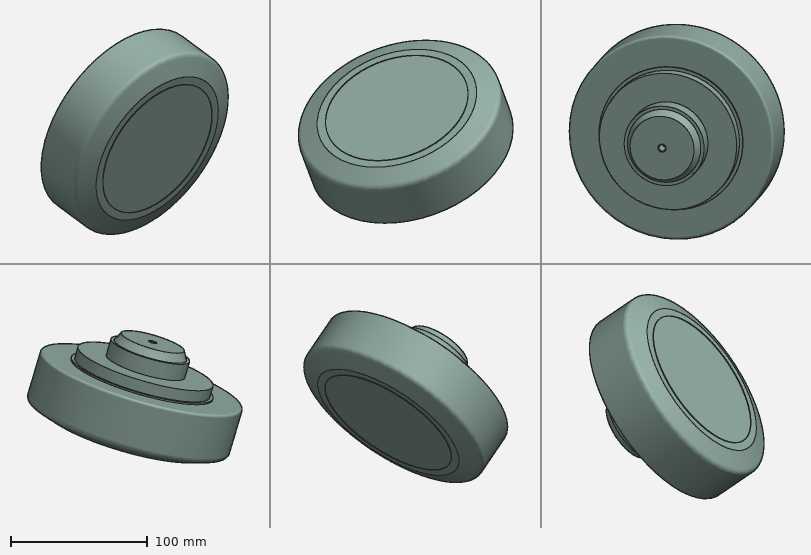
import cadquery as cq
import math


nose_length = 6.5
nose_tip_radius = 24.0
nose_base_radius = 27.5
boss_end = 19.0
boss_radius = 30.0
collar_end = 27.8
collar_radius = 51.5

core_radius = 54.0
total_length = 72.5

tyre_start = 29.0
tyre_end = 72.0
tyre_radius = 76.9
crown_radius = 60.5
crown_angle = 20.0
front_round = 2.0
shoulder_round = 4.0

hole_radius = 2.5
hole_chamfer = 0.6
hole_depth = 12.0
drill_point_angle = 118.0


def disc(start, end, radius):
    """Cylinder about the X axis between two x positions."""
    return cq.Workplane("YZ", origin=(start, 0, 0)).circle(radius).extrude(end - start)


def revolve_about_x(points):
    """Solid turned about the X axis from (x, radius) profile points."""
    return cq.Workplane("XY").polyline(points).close().revolve(360, (0, 0, 0), (1, 0, 0))


def make_hub():
    nose = revolve_about_x([
        (0, 0),
        (0, nose_tip_radius),
        (nose_length, nose_base_radius),
        (nose_length, 0),
    ])
    boss = disc(nose_length, boss_end, boss_radius)
    collar = disc(boss_end, collar_end, collar_radius)
    core = disc(collar_end, total_length, core_radius)
    return nose.union(boss).union(collar).union(core)


def make_tyre():
    shoulder_depth = (tyre_radius - crown_radius) * math.tan(math.radians(crown_angle))
    shoulder_start = tyre_end - shoulder_depth
    tyre = revolve_about_x([
        (tyre_start, 0),
        (tyre_start, tyre_radius),
        (shoulder_start, tyre_radius),
        (tyre_end, crown_radius),
        (tyre_end, 0),
    ])
    tyre = tyre.edges("%CIRCLE and (not <X) and (not >X)").fillet(shoulder_round)
    return tyre.faces("<X").edges().fillet(front_round)


def make_centre_hole():
    point_depth = hole_radius / math.tan(math.radians(drill_point_angle / 2))
    return revolve_about_x([
        (0, 0),
        (0, hole_radius + hole_chamfer),
        (hole_chamfer, hole_radius),
        (hole_depth, hole_radius),
        (hole_depth + point_depth, 0),
    ])


result = make_hub().union(make_tyre()).cut(make_centre_hole())